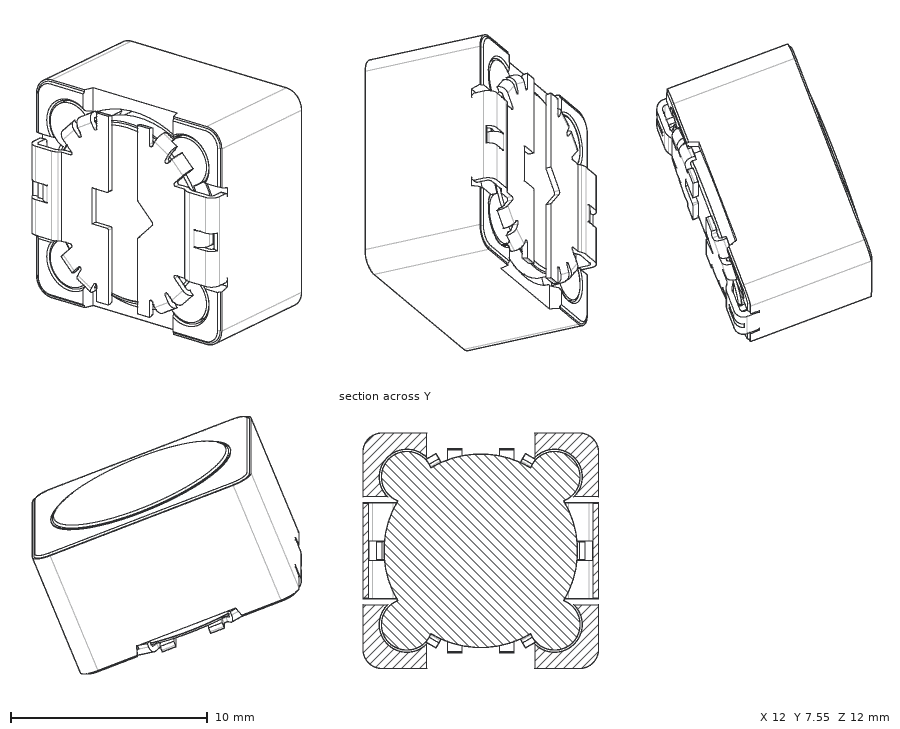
import cadquery as cq
import math


SIDE = 12.0
OVERALL_DEPTH = 7.55
THICK = 0.3
STEP = 0.1

SHIELD_CORNER = 0.98
SHIELD_FRONT = 0.61
SHIELD_BACK = 7.38
NOTCH_FLOOR = 1.2
NOTCH_FLOOR_WIDTH = 5.42
NOTCH_MOUTH_WIDTH = 5.82
POCKET_RADIUS = 5.35
RECESS_RADIUS = 1.4
POCKET_FLOOR = 6.0

CORE_RADIUS = 4.93
CORE_SHOULDER = 0.65
HUB_RADIUS = 4.56
FLANGE_BACK = 1.55
CORE_BACK_SHOULDER = 7.43
POST_OFFSET = 3.75
POST_RADIUS = RECESS_RADIUS - STEP

PLATE_FRONT = 0.2
PLATE_BACK = PLATE_FRONT + THICK
STRIP_WIDTH = 4.91
FOOT_BEND = 0.5
JOGGLE_START = 4.46
JOGGLE_RADIUS = 0.61
JOGGLE_ANGLE = math.radians(33)
INNER_EDGE = 0.95
ARM_OUTER = 1.7
ARM_HALF_LENGTH = 5.2
ARM_TIP_TAPER = 0.06
ARM_TIP_LAND = 0.1
LEG_CORNER = 0.2

TAB_ANGLES = (60, 45)
TAB_WIDTH = 1.01
TAB_START = 4.98
TAB_BEND = 0.45
TAB_END = 0.84

WINDOW_WIDTH = 0.97
WINDOW_EDGE = 4.76
WINDOW_SLOPE = math.radians(15)
TONGUE_WIDTH = 0.91
TONGUE_BEND = 0.55

SQUARE_NOTCH_WIDTH = 1.98
SQUARE_NOTCH_EDGE = 1.99
SQUARE_NOTCH_ROUND = 0.08
ARROW_DEPTH = 1.03
ARROW_ROUND = 0.15

HALF = SIDE / 2


def front_plane(y):
    """XZ sketch plane at the given Y; negative extrusions run towards +Y."""
    return cq.Workplane(cq.Plane(origin=(0, y, 0), xDir=(1, 0, 0), normal=(0, -1, 0)))


def cylinder(radius, y_start, y_end, x=0, z=0):
    return front_plane(y_start).center(x, z).circle(radius).extrude(y_start - y_end)


def cone(radius_start, radius_end, y_start, y_end, x=0, z=0):
    return cq.Workplane(
        cq.Solid.makeCone(
            radius_start, radius_end, y_end - y_start, cq.Vector(x, y_start, z), cq.Vector(0, 1, 0)
        )
    )


def post_centres():
    return [(sx * POST_OFFSET, sz * POST_OFFSET) for sx in (-1, 1) for sz in (-1, 1)]


def shield_block():
    """Rounded square block whose ends step in by a ledge and then a 45 degree taper."""
    ledge_front = SHIELD_FRONT + STEP
    ledge_back = SHIELD_BACK - STEP
    block = (
        front_plane(ledge_front)
        .rect(SIDE, SIDE)
        .extrude(ledge_front - ledge_back)
        .edges("|Y")
        .fillet(SHIELD_CORNER)
    )
    raised = (
        front_plane(SHIELD_FRONT)
        .rect(SIDE - 2 * STEP, SIDE - 2 * STEP)
        .extrude(SHIELD_FRONT - SHIELD_BACK)
        .edges("|Y")
        .fillet(SHIELD_CORNER - STEP)
        .faces("<Y or >Y")
        .chamfer(STEP)
    )
    return block.union(raised)


def notch_cutter():
    """Tapered channel across the whole front, running along Z."""
    mouth = NOTCH_MOUTH_WIDTH / 2
    floor = NOTCH_FLOOR_WIDTH / 2
    taper = (mouth - floor) / (NOTCH_FLOOR - SHIELD_FRONT)
    outside = mouth + taper * SHIELD_FRONT
    return (
        cq.Workplane("XY")
        .polyline([(-outside, 0), (outside, 0), (floor, NOTCH_FLOOR), (-floor, NOTCH_FLOOR)])
        .close()
        .extrude(HALF, both=True)
    )


def shield():
    body = shield_block()
    channel = notch_cutter()
    body = body.cut(channel).cut(channel.rotate((0, 0, 0), (0, 1, 0), 90))
    body = body.cut(cylinder(CORE_RADIUS, 0, OVERALL_DEPTH))
    body = body.cut(cylinder(POCKET_RADIUS, 0, POCKET_FLOOR))
    for x, z in post_centres():
        body = body.cut(cylinder(RECESS_RADIUS, 0, POCKET_FLOOR, x, z))
        rim = cone(RECESS_RADIUS + STEP, RECESS_RADIUS, SHIELD_FRONT, SHIELD_FRONT + STEP, x, z)
        body = body.cut(rim)
    return body


def bent_strip():
    """Leg, foot and joggle up to the plate, as one constant-thickness profile along Z."""
    c = math.cos(math.pi / 4)
    sin_j = math.sin(JOGGLE_ANGLE)
    cos_j = math.cos(JOGGLE_ANGLE)
    half_sin = math.sin(JOGGLE_ANGLE / 2)
    half_cos = math.cos(JOGGLE_ANGLE / 2)
    inner_bend = FOOT_BEND - THICK
    inner_joggle = JOGGLE_RADIUS - THICK
    bend_x = FOOT_BEND - HALF
    x_j = -JOGGLE_START

    def joggle_point(radius, s, co):
        return (x_j + radius * s, JOGGLE_RADIUS - radius * co)

    inner_end = joggle_point(inner_joggle, sin_j, cos_j)
    inner_top_x = inner_end[0] + (PLATE_BACK - inner_end[1]) / math.tan(JOGGLE_ANGLE)
    strip = (
        cq.Workplane("XY")
        .moveTo(-HALF, NOTCH_FLOOR)
        .lineTo(-HALF, FOOT_BEND)
        .threePointArc((bend_x - FOOT_BEND * c, FOOT_BEND * (1 - c)), (bend_x, 0))
        .lineTo(x_j, 0)
        .threePointArc(
            joggle_point(JOGGLE_RADIUS, half_sin, half_cos),
            joggle_point(JOGGLE_RADIUS, sin_j, cos_j),
        )
        .lineTo(plate_edge_x(), PLATE_FRONT)
        .lineTo(plate_edge_x(), PLATE_BACK)
        .lineTo(inner_top_x, PLATE_BACK)
        .lineTo(*inner_end)
        .threePointArc(joggle_point(inner_joggle, half_sin, half_cos), (x_j, THICK))
        .lineTo(bend_x, THICK)
        .threePointArc(
            (bend_x - inner_bend * c, FOOT_BEND - inner_bend * c), (bend_x - inner_bend, FOOT_BEND)
        )
        .lineTo(THICK - HALF, NOTCH_FLOOR)
        .close()
        .extrude(STRIP_WIDTH / 2, both=True)
    )
    return strip.edges("|X and >Y").fillet(LEG_CORNER)


def plate_edge_x():
    """X where the joggle slope reaches the front of the plate."""
    rise = PLATE_FRONT - JOGGLE_RADIUS * (1 - math.cos(JOGGLE_ANGLE))
    return -JOGGLE_START + JOGGLE_RADIUS * math.sin(JOGGLE_ANGLE) + rise / math.tan(JOGGLE_ANGLE)


def tab_side(angle, side):
    """Inner-bend corner of a tab and its outward direction, in the upper left quadrant."""
    a = math.radians(180 - angle)
    out = (math.cos(a), math.sin(a))
    across = (out[1], -out[0])
    shift = side * TAB_WIDTH / 2
    return (TAB_START * out[0] + shift * across[0], TAB_START * out[1] + shift * across[1]), out


def meet(line_a, line_b):
    """Intersection of two lines, each given as a point and a direction."""
    (ax, az), (ux, uz) = line_a
    (bx, bz), (vx, vz) = line_b
    t = ((bx - ax) * vz - (bz - az) * vx) / (ux * vz - uz * vx)
    return (ax + t * ux, az + t * uz)


def round_corner(body, x, z, radius):
    """Rounds the plate edge along Y nearest to the given corner."""
    nearest = cq.selectors.NearestToPointSelector((x, PLATE_FRONT + THICK / 2, z))
    return body.edges("|Y").edges(nearest).fillet(radius)


def plain_plate():
    """Flat plate up to the tab bends; the wedge slots beside the tabs end in small arcs."""
    steep, shallow = TAB_ANGLES
    arm_side = ((-ARM_OUTER, 0), (0, 1))
    strip_side = ((0, STRIP_WIDTH / 2), (1, 0))
    slot_ends = [
        meet(arm_side, tab_side(steep, 1)),
        meet(tab_side(steep, -1), tab_side(shallow, 1)),
        meet(tab_side(shallow, -1), strip_side),
    ]
    upper = [
        (-INNER_EDGE, ARM_HALF_LENGTH),
        (-ARM_OUTER, ARM_HALF_LENGTH),
        slot_ends[0],
        tab_side(steep, 1)[0],
        tab_side(steep, -1)[0],
        slot_ends[1],
        tab_side(shallow, 1)[0],
        tab_side(shallow, -1)[0],
        slot_ends[2],
        (plate_edge_x(), STRIP_WIDTH / 2),
    ]
    lower = [(x, -z) for x, z in reversed(upper)]
    body = front_plane(PLATE_FRONT).polyline(upper + lower).close().extrude(-THICK)
    for x, z in slot_ends:
        body = round_corner(body, x, z, STEP)
        body = round_corner(body, x, -z, STEP)
    tip_edges = body.faces("<Z or >Z").edges(">Y")
    return tip_edges.chamfer(THICK - ARM_TIP_LAND, ARM_TIP_TAPER)


def hook(bend_radius, end_y, front_y):
    """Profile of a sheet bent from +X into +Y; the bend starts at X = 0."""
    c = math.cos(math.pi / 4)
    inner = bend_radius - THICK
    centre_y = front_y + bend_radius
    return (
        cq.Workplane("XY")
        .moveTo(0, front_y)
        .threePointArc((bend_radius * c, centre_y - bend_radius * c), (bend_radius, centre_y))
        .lineTo(bend_radius, end_y)
        .lineTo(inner, end_y)
        .lineTo(inner, centre_y)
        .threePointArc((inner * c, centre_y - inner * c), (0, front_y + THICK))
        .close()
    )


def tabs():
    bodies = []
    flat_tab = hook(TAB_BEND, TAB_END, PLATE_FRONT).extrude(TAB_WIDTH / 2, both=True)
    for angle in TAB_ANGLES:
        for direction in (180 - angle, 180 + angle):
            moved = flat_tab.translate((TAB_START, 0, 0))
            bodies.append(moved.rotate((0, 0, 0), (0, 1, 0), -direction))
    return bodies


def window_cutter():
    """Opening through the foot and its bend, ending on a radial cut of the bend."""
    bend_x = FOOT_BEND - HALF
    drop = FOOT_BEND * math.tan(WINDOW_SLOPE)
    return (
        cq.Workplane("XY")
        .polyline(
            [
                (-HALF, 0),
                (-HALF, FOOT_BEND - drop),
                (bend_x, FOOT_BEND),
                (-WINDOW_EDGE, FOOT_BEND),
                (-WINDOW_EDGE, 0),
            ]
        )
        .close()
        .extrude(WINDOW_WIDTH / 2, both=True)
    )


def tongue():
    bent = hook(TONGUE_BEND, TAB_END, 0).extrude(TONGUE_WIDTH / 2, both=True)
    return bent.mirror("YZ").translate((-WINDOW_EDGE, 0, 0))


def square_notched_plate():
    notch = (
        front_plane(PLATE_FRONT)
        .center(-SQUARE_NOTCH_EDGE / 2, 0)
        .rect(SQUARE_NOTCH_EDGE, SQUARE_NOTCH_WIDTH)
        .extrude(-THICK)
    )
    body = plain_plate().cut(notch)
    for z in (-SQUARE_NOTCH_WIDTH / 2, SQUARE_NOTCH_WIDTH / 2):
        body = round_corner(body, -INNER_EDGE, z, SQUARE_NOTCH_ROUND)
    return body


def arrow_notched_plate():
    arrow = [
        (-INNER_EDGE, ARROW_DEPTH),
        (-INNER_EDGE, -ARROW_DEPTH),
        (-INNER_EDGE - ARROW_DEPTH, 0),
    ]
    notch = front_plane(PLATE_FRONT).polyline(arrow).close().extrude(-THICK)
    return plain_plate().cut(notch.edges("|Y and <X").fillet(ARROW_ROUND))


def terminal(plate):
    body = bent_strip().cut(window_cutter()).union(tongue()).union(plate)
    for tab in tabs():
        body = body.union(tab)
    return body


def core():
    """Drum of two flanges and a hub, with a tapered boss at each end and four front posts."""
    body = cylinder(CORE_RADIUS, CORE_SHOULDER, FLANGE_BACK)
    body = body.union(cylinder(HUB_RADIUS, FLANGE_BACK, POCKET_FLOOR))
    body = body.union(cylinder(CORE_RADIUS, POCKET_FLOOR, CORE_BACK_SHOULDER))
    wide = CORE_RADIUS - STEP
    narrow = wide - STEP
    body = body.union(cone(narrow, wide, PLATE_BACK, CORE_SHOULDER))
    body = body.union(cone(wide, narrow, CORE_BACK_SHOULDER, OVERALL_DEPTH))
    for x, z in post_centres():
        body = body.union(cylinder(POST_RADIUS, CORE_SHOULDER, FLANGE_BACK, x, z))
    return body


left_terminal = terminal(square_notched_plate())
right_terminal = terminal(arrow_notched_plate()).mirror("YZ")

housing = shield().union(left_terminal).union(right_terminal).solids()

drum = core().cut(left_terminal).cut(right_terminal).solids()

result = cq.Compound.makeCompound([housing.val(), drum.val()])